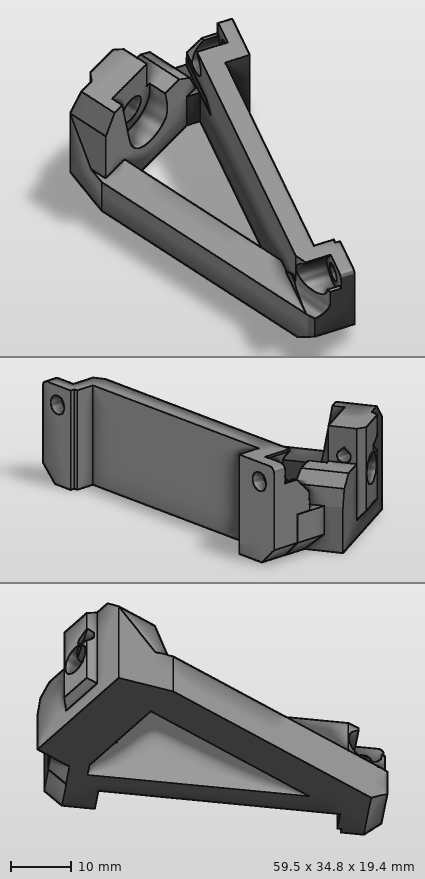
import cadquery as cq
import math


RAIL_HEIGHT = 8.06
RAIL_DEPTH = 6.07
RAIL_END_X = 53.27
RAIL_JOINT_X = 45.0
END_FACET_ANGLE = 6.0
END_FACET_LENGTH = 5.0

BLOCK_LENGTH = 9.18
BLOCK_DEPTH = 25.0
BLOCK_HEIGHT = 19.4
BLOCK_TOP_LENGTH = 7.12
FRONT_TAPER = 3.0
FRONT_SLOPE_BOTTOM_Y = 1.0
FRONT_SLOPE_TOP_Z = 16.45
FRONT_CHAMFER = 3.0
BACK_KNEE_Y = 24.25
BACK_KNEE_Z = 11.2
SHOULDER_Y = 21.8
SHOULDER_HEIGHT = 13.1

PAD_THICKNESS = 1.3
PAD_FRONT_Y = 8.82
PAD_BACK_Y = 17.28
PAD_BOTTOM = 3.1
PAD_SIDE_CHAMFER = 1.2
PAD_BOTTOM_CHAMFER = 1.4

BOLT_Y = 13.05
BOLT_Z = 11.0
BOLT_DIAMETER = 5.4
NUT_SLOT_WIDTH = 10.0
NUT_SLOT_START_X = 4.95
CROSS_HOLE_RADIUS = 1.1
CROSS_HOLE_ENTRY = (-0.83, 10.7)
CROSS_HOLE_Z = 14.25
CROSS_HOLE_ANGLE = 65.0
CROSS_HOLE_REACH = 8.0
CROSS_HOLE_LEAD = 3.0

WALL_CORNER = (9.0, 34.75)
WALL_ANGLE = -30.0
WALL_LENGTH = 56.79
WALL_HEIGHT = 17.7
WALL_FRONT_V = -8.0
WALL_BACK_V = -4.4
LEFT_LUG_LENGTH = 8.55
RIGHT_LUG_LENGTH = 7.54
LUG_NOTCH_LENGTH = 0.7
LUG_NOTCH_DEPTH = 0.85
END_BOTTOM_CHAMFER = 3.0
END_TOP_RADIUS = 1.0
FOOT_LENGTH = 6.2
FOOT_OUTER_V = -5.3
FOOT_INNER_V = -12.5
FOOT_STEP = 0.08

SCREW_INSET = 3.6
SCREW_Z = 14.25
SCREW_RADIUS = 1.65
SEAT_RADIUS = 3.0
SEAT_FLOOR_V = -2.5
SEAT_OPENING = 4.8
LIP_BEVEL_START_V = -5.2

WALL_PAD_THICKNESS = 0.08
LEFT_PAD_HEIGHT = 10.0
LEFT_PAD_BASE_U = 11.15
RIGHT_PAD_HEIGHTS = (10.95, 10.55)
RIGHT_PAD_BASE_U = 45.9

RELIEF_X = 48.3
RELIEF_Y = 2.78
RELIEF_ANGLE = -2.0
RELIEF_RADIUS = 3.0
RELIEF_LENGTH = 15.0
RELIEF_LEAD = 5.0

EPS = 1.0


def prism_along_x(points_yz, start, end):
    return cq.Workplane("YZ").workplane(offset=start).polyline(points_yz).close().extrude(end - start)


def wall_to_part(shape):
    """Move a shape from the wall's (u, v, z) frame into the part frame."""
    turned = shape.rotate((0, 0, 0), (0, 0, 1), WALL_ANGLE)
    return turned.translate((WALL_CORNER[0], WALL_CORNER[1], 0))


def wall_point(u, v):
    """Part-frame (x, y) of a point given in the wall frame."""
    turn = math.radians(WALL_ANGLE)
    x = WALL_CORNER[0] + u * math.cos(turn) - v * math.sin(turn)
    y = WALL_CORNER[1] + u * math.sin(turn) + v * math.cos(turn)
    return x, y


def prism_along_v(points_uz, v_from, v_to):
    """Extrude a (u, z) outline from v_from towards -v until v_to."""
    return cq.Workplane("XZ").workplane(offset=-v_from).polyline(points_uz).close().extrude(v_from - v_to)


def teardrop(plane, radius):
    """Circle with a 45 degree peak on top, centred on the workplane origin."""
    tangent = radius * math.sqrt(0.5)
    return (
        plane.moveTo(-tangent, tangent)
        .threePointArc((0, -radius), (tangent, tangent))
        .lineTo(0, radius * math.sqrt(2))
        .close()
    )


def make_block():
    """Upright block: its plan cut to its side and end profiles."""
    outline = [
        (0, FRONT_TAPER),
        (BLOCK_LENGTH, 0),
        (BLOCK_LENGTH, BLOCK_DEPTH),
        (0, BLOCK_DEPTH),
    ]
    footprint = cq.Workplane("XY").polyline(outline).close().extrude(BLOCK_HEIGHT)
    side_profile = [
        (0, 0),
        (BLOCK_DEPTH, 0),
        (BLOCK_DEPTH, RAIL_HEIGHT),
        (BACK_KNEE_Y, BACK_KNEE_Z),
        (SHOULDER_Y, SHOULDER_HEIGHT),
        (PAD_BACK_Y, SHOULDER_HEIGHT),
        (PAD_BACK_Y, BLOCK_HEIGHT),
        (FRONT_TAPER + FRONT_CHAMFER, BLOCK_HEIGHT),
        (FRONT_TAPER, FRONT_SLOPE_TOP_Z),
        (FRONT_SLOPE_BOTTOM_Y, RAIL_HEIGHT),
        (0, RAIL_HEIGHT),
    ]
    block = footprint.intersect(prism_along_x(side_profile, 0, BLOCK_LENGTH))
    end_profile = [
        (0, 0),
        (BLOCK_LENGTH, 0),
        (BLOCK_LENGTH, RAIL_HEIGHT),
        (BLOCK_TOP_LENGTH, BLOCK_HEIGHT),
        (0, BLOCK_HEIGHT),
    ]
    end_prism = cq.Workplane("XZ").polyline(end_profile).close().extrude(-BLOCK_DEPTH)
    return block.intersect(end_prism)


def make_pad():
    """Locating pad with chamfered sides and bottom."""
    plan = [
        (0, PAD_FRONT_Y),
        (-PAD_THICKNESS, PAD_FRONT_Y + PAD_SIDE_CHAMFER),
        (-PAD_THICKNESS, PAD_BACK_Y - PAD_SIDE_CHAMFER),
        (0, PAD_BACK_Y),
    ]
    pad = cq.Workplane("XY").polyline(plan).close().extrude(BLOCK_HEIGHT)
    profile = [
        (0, PAD_BOTTOM),
        (-PAD_THICKNESS, PAD_BOTTOM + PAD_BOTTOM_CHAMFER),
        (-PAD_THICKNESS, BLOCK_HEIGHT),
        (0, BLOCK_HEIGHT),
    ]
    return pad.intersect(cq.Workplane("XZ").polyline(profile).close().extrude(-BLOCK_DEPTH))


def cut_block_holes(body):
    """Bolt hole, open-topped nut slot behind it, and the oblique teardrop cross hole."""
    bolt_plane = cq.Workplane("YZ", origin=(-PAD_THICKNESS, BOLT_Y, BOLT_Z))
    bolt_hole = bolt_plane.circle(BOLT_DIAMETER / 2).extrude(BLOCK_LENGTH)
    slot_plane = cq.Workplane("YZ", origin=(NUT_SLOT_START_X, BOLT_Y, BOLT_Z))
    half = NUT_SLOT_WIDTH / 2
    slot_top = BLOCK_HEIGHT - BOLT_Z + EPS
    slot = (
        slot_plane.moveTo(-half, slot_top)
        .lineTo(-half, 0)
        .threePointArc((0, -half), (half, 0))
        .lineTo(half, slot_top)
        .close()
        .extrude(BLOCK_LENGTH - NUT_SLOT_START_X)
    )
    turn = math.radians(CROSS_HOLE_ANGLE)
    cross_plane = cq.Plane(
        origin=(CROSS_HOLE_ENTRY[0], CROSS_HOLE_ENTRY[1], CROSS_HOLE_Z),
        xDir=(math.sin(turn), -math.cos(turn), 0),
        normal=(-math.cos(turn), -math.sin(turn), 0),
    )
    cross_start = cq.Workplane(cross_plane).workplane(offset=-CROSS_HOLE_REACH)
    cross_hole = teardrop(cross_start, CROSS_HOLE_RADIUS).extrude(CROSS_HOLE_REACH + CROSS_HOLE_LEAD)
    return body.cut(bolt_hole).cut(slot).cut(cross_hole)


def make_wall():
    """Wall with its two lugs, in the wall frame."""
    lug_u = WALL_LENGTH - RIGHT_LUG_LENGTH
    notch_u = lug_u + LUG_NOTCH_LENGTH
    plan = [
        (0, 0),
        (LEFT_LUG_LENGTH, 0),
        (LEFT_LUG_LENGTH, WALL_BACK_V),
        (lug_u, WALL_BACK_V),
        (lug_u, -LUG_NOTCH_DEPTH),
        (notch_u, -LUG_NOTCH_DEPTH),
        (notch_u, 0),
        (WALL_LENGTH, 0),
        (WALL_LENGTH, WALL_FRONT_V),
        (0, WALL_FRONT_V),
    ]
    return cq.Workplane("XY").polyline(plan).close().extrude(WALL_HEIGHT)


def make_wall_pad(end_u, base_u, height, thickness):
    """Pad reaching from a wall end to base_u, with a 45 degree flank."""
    slope = math.copysign(height - RAIL_HEIGHT, end_u - base_u)
    outline = [(end_u, RAIL_HEIGHT), (base_u, RAIL_HEIGHT), (base_u + slope, height), (end_u, height)]
    return prism_along_v(outline, WALL_BACK_V, WALL_FRONT_V - thickness)


def make_foot():
    """Low foot joining the wall's left end to the block, in the wall frame."""
    outline = [
        (END_BOTTOM_CHAMFER - FOOT_STEP, 0),
        (FOOT_LENGTH, 0),
        (FOOT_LENGTH, RAIL_HEIGHT),
        (-FOOT_STEP, RAIL_HEIGHT),
        (-FOOT_STEP, END_BOTTOM_CHAMFER),
    ]
    return prism_along_v(outline, FOOT_OUTER_V, FOOT_INNER_V)


def make_rail():
    plan = [
        (BLOCK_LENGTH, 0),
        (RAIL_END_X, 0),
        wall_point(WALL_LENGTH, WALL_BACK_V),
        (RAIL_JOINT_X, RAIL_DEPTH),
        (BLOCK_LENGTH, RAIL_DEPTH),
    ]
    return cq.Workplane("XY").polyline(plan).close().extrude(RAIL_HEIGHT)


def make_end_envelope():
    """Space between the wall's ends, with their bottom chamfers and top rounds."""
    profile = (
        cq.Workplane("XZ")
        .moveTo(END_BOTTOM_CHAMFER, 0)
        .lineTo(WALL_LENGTH - END_BOTTOM_CHAMFER, 0)
        .lineTo(WALL_LENGTH, END_BOTTOM_CHAMFER)
        .lineTo(WALL_LENGTH, WALL_HEIGHT - END_TOP_RADIUS)
        .radiusArc((WALL_LENGTH - END_TOP_RADIUS, WALL_HEIGHT), -END_TOP_RADIUS)
        .lineTo(END_TOP_RADIUS, WALL_HEIGHT)
        .radiusArc((0, WALL_HEIGHT - END_TOP_RADIUS), -END_TOP_RADIUS)
        .lineTo(0, END_BOTTOM_CHAMFER)
        .close()
    )
    return profile.extrude(WALL_LENGTH, both=True)


def make_frame():
    """Wall, wall pads, rail and foot joined in the part frame."""
    wall = make_wall()
    wall = wall.union(make_wall_pad(0, LEFT_PAD_BASE_U, LEFT_PAD_HEIGHT, WALL_PAD_THICKNESS))
    for layer, height in enumerate(RIGHT_PAD_HEIGHTS, start=1):
        wall = wall.union(make_wall_pad(WALL_LENGTH, RIGHT_PAD_BASE_U, height, layer * WALL_PAD_THICKNESS))
    frame = wall_to_part(wall).union(make_rail())
    frame = frame.intersect(wall_to_part(make_end_envelope()))
    return frame.union(wall_to_part(make_foot()))


def make_screw_seat():
    """Cutter for the screw seat at the u = 0 end, in the wall frame."""
    tangent = SEAT_RADIUS * math.sqrt(0.5)
    flat_top = SCREW_Z + SEAT_RADIUS * math.sqrt(2) - (SEAT_OPENING - SCREW_INSET)
    top = WALL_HEIGHT + EPS
    front_v = WALL_FRONT_V - EPS
    seat = (
        cq.Workplane("XZ")
        .workplane(offset=-SEAT_FLOOR_V)
        .moveTo(SCREW_INSET - SEAT_RADIUS, SCREW_Z)
        .threePointArc((SCREW_INSET, SCREW_Z - SEAT_RADIUS), (SCREW_INSET + tangent, SCREW_Z + tangent))
        .lineTo(SEAT_OPENING, flat_top)
        .lineTo(SEAT_OPENING, top)
        .lineTo(-EPS, top)
        .lineTo(-EPS, SCREW_Z)
        .close()
        .extrude(SEAT_FLOOR_V - front_v)
    )
    drop = LIP_BEVEL_START_V - front_v
    bevel_outline = [(LIP_BEVEL_START_V, SCREW_Z), (front_v, SCREW_Z), (front_v, SCREW_Z - drop)]
    bevel = prism_along_x(bevel_outline, -EPS, SCREW_INSET)
    hole_plane = cq.Workplane("XZ", origin=(SCREW_INSET, EPS, SCREW_Z))
    hole = hole_plane.circle(SCREW_RADIUS).extrude(EPS - front_v)
    return seat.union(bevel).union(hole)


def cut_screw_seats(body):
    seat = make_screw_seat()
    mirrored = seat.mirror("YZ").translate((WALL_LENGTH, 0, 0))
    return body.cut(wall_to_part(seat)).cut(wall_to_part(mirrored))


def cut_relief(body):
    """Clear the wall above the rail in front of the right-hand seat, with a concave foot."""
    outer_y = -2 * RELIEF_RADIUS
    bend = RELIEF_RADIUS * (1 - math.sqrt(0.5))
    relief = (
        cq.Workplane("YZ")
        .moveTo(-RELIEF_RADIUS, RAIL_HEIGHT)
        .threePointArc((-bend, RAIL_HEIGHT + bend), (0, RAIL_HEIGHT + RELIEF_RADIUS))
        .lineTo(0, WALL_HEIGHT + EPS)
        .lineTo(outer_y, WALL_HEIGHT + EPS)
        .lineTo(outer_y, RAIL_HEIGHT)
        .close()
        .extrude(RELIEF_LENGTH)
        .translate((-RELIEF_LEAD, 0, 0))
        .rotate((0, 0, 0), (0, 0, 1), RELIEF_ANGLE)
        .translate((RELIEF_X, RELIEF_Y, 0))
    )
    return body.cut(relief)


def trim_front(body):
    """Cut the wall off at the rail's front plane and facet the corner at its right end."""
    facet_x = RAIL_END_X + END_FACET_LENGTH
    facet_y = END_FACET_LENGTH * math.tan(math.radians(END_FACET_ANGLE))
    outline = [(0, 0), (RAIL_END_X, 0), (facet_x, facet_y), (facet_x, -RAIL_DEPTH), (0, -RAIL_DEPTH)]
    return body.cut(cq.Workplane("XY").polyline(outline).close().extrude(WALL_HEIGHT))


frame = trim_front(cut_relief(cut_screw_seats(make_frame())))
block = cut_block_holes(make_block().union(make_pad()))
result = frame.union(block)